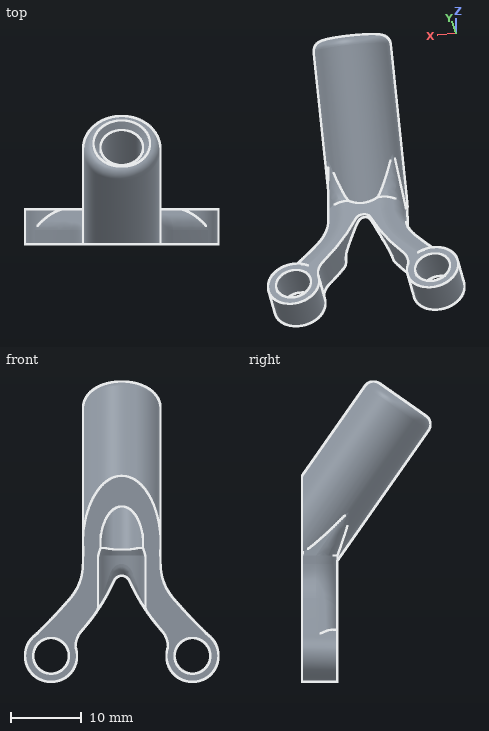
import cadquery as cq
import math

plate_depth = 5.0
eye_radius = 3.7
eye_hole_radius = 2.5
eye_x = 10.0
eye_z = eye_radius

tube_diameter = 11.0
tube_radius = tube_diameter / 2
bore_radius = 3.0
tilt = 35.0
axis_z = 19.55
tube_length = 24.87
rim_round = 1.5
mouth_chamfer = 0.98

shoulder_z = 16.63
shoulder_arc_radius = 7.3
shoulder_turn = 40.6
eye_touch_angle = 53.4
back_round = 2.98
crotch_top = 15.0
crotch_shoulder = (1.05, 14.35)
leg_middle = (3.35, 10.2)
leg_end = (5.7, 7.2)
knuckle_middle = (6.25, 6.3)
knuckle_end = (6.5, 5.2)

saddle_z = 17.85
saddle_tip_z = 25.75
saddle_tip_half_width = 4.55
saddle_tip_front = 2.55
saddle_tip_back = 7.85
saddle_tip_round = 0.43

channel_width = 6.68
channel_radius = channel_width / 2
channel_top = 17.85
neck_top = 18.92
crotch_round = 1.65

reach = 42.5
margin = 0.2

tube_plane = cq.Plane(
    origin=(0, 0, axis_z),
    xDir=(1, 0, 0),
    normal=(0, math.sin(math.radians(tilt)), math.cos(math.radians(tilt))),
)


def plate_sketch():
    """XZ workplane on the plate front; extrude negative distances toward +Y."""
    return cq.Workplane("XZ")


def mirror_x(point):
    return (-point[0], point[1])


def make_tube():
    """Cylinder with a rounded rim, trimmed flush with the plate front."""
    tube = cq.Workplane(tube_plane).workplane(offset=-reach / 2)
    tube = tube.circle(tube_radius).extrude(tube_length + reach / 2)
    tube = tube.faces(cq.selectors.DirectionMinMaxSelector(tube_plane.zDir)).edges().fillet(rim_round)
    front_space = cq.Workplane("XY").box(reach, reach, 2 * reach, centered=(True, False, True))
    return tube.cut(front_space.translate((0, -reach, 0)))


def make_arms():
    """Flared plate whose outer sides curve from the tube out to the eyes."""
    bend_end = (
        tube_radius + shoulder_arc_radius * (1 - math.cos(math.radians(shoulder_turn))),
        shoulder_z - shoulder_arc_radius * math.sin(math.radians(shoulder_turn)),
    )
    half_turn = math.radians(shoulder_turn / 2)
    bend_middle = (
        tube_radius + shoulder_arc_radius * (1 - math.cos(half_turn)),
        shoulder_z - shoulder_arc_radius * math.sin(half_turn),
    )
    touch = (
        eye_x + eye_radius * math.cos(math.radians(eye_touch_angle)),
        eye_z + eye_radius * math.sin(math.radians(eye_touch_angle)),
    )

    arm = (
        plate_sketch()
        .moveTo(0, saddle_z)
        .lineTo(tube_radius, saddle_z)
        .lineTo(tube_radius, shoulder_z)
        .threePointArc(bend_middle, bend_end)
        .tangentArcPoint(touch, relative=False)
        .lineTo(eye_x, eye_z)
        .lineTo(0, eye_z)
        .close()
        .extrude(-plate_depth)
    )
    outer_back_edge = cq.selectors.BoxSelector(
        (tube_radius - margin, plate_depth - margin, touch[1] + margin),
        (touch[0] - margin, plate_depth + margin, saddle_z - margin),
    )
    arm = arm.edges(outer_back_edge).fillet(back_round)
    return arm.union(arm.mirror("YZ"))


def saddle_section(workplane, half_width, front_y, back_y, corner):
    """Rectangle in XY whose two back corners are rounded."""
    diagonal = corner * (1 - math.sqrt(0.5))
    return (
        workplane.moveTo(-half_width, front_y)
        .lineTo(half_width, front_y)
        .lineTo(half_width, back_y - corner)
        .threePointArc((half_width - diagonal, back_y - diagonal), (half_width - corner, back_y))
        .lineTo(corner - half_width, back_y)
        .threePointArc((diagonal - half_width, back_y - diagonal), (-half_width, back_y - corner))
        .close()
    )


def make_saddle():
    """Tapered transition that fades from the arm section into the tube."""
    saddle = saddle_section(
        cq.Workplane("XY", origin=(0, 0, saddle_z)), tube_radius, 0, plate_depth, back_round
    )
    saddle = saddle_section(
        saddle.workplane(offset=saddle_tip_z - saddle_z, origin=(0, 0, 0)),
        saddle_tip_half_width,
        saddle_tip_front,
        saddle_tip_back,
        saddle_tip_round,
    )
    return saddle.loft(ruled=True)


def crotch_cutter():
    """Opening between the legs, from its round top down to the eyes."""
    return (
        plate_sketch()
        .moveTo(*mirror_x(crotch_shoulder))
        .threePointArc((0, crotch_top), crotch_shoulder)
        .threePointArc(leg_middle, leg_end)
        .threePointArc(knuckle_middle, knuckle_end)
        .lineTo(knuckle_end[0], -eye_radius)
        .lineTo(-knuckle_end[0], -eye_radius)
        .lineTo(*mirror_x(knuckle_end))
        .threePointArc(mirror_x(knuckle_middle), mirror_x(leg_end))
        .threePointArc(mirror_x(leg_middle), mirror_x(crotch_shoulder))
        .close()
        .extrude(-reach)
    )


def bore_cutter():
    """Tube bore with a conical mouth."""
    bore = cq.Workplane(tube_plane).workplane(offset=-tube_length)
    bore = bore.circle(bore_radius).extrude(2 * tube_length)
    mouth = (
        cq.Workplane(tube_plane)
        .workplane(offset=tube_length - mouth_chamfer)
        .circle(bore_radius)
        .workplane(offset=mouth_chamfer)
        .circle(bore_radius + mouth_chamfer)
        .loft()
    )
    return bore.union(mouth)


def channel_cutter():
    """Upright round channel that narrows to the bore width at its top."""
    return (
        cq.Workplane("XZ")
        .lineTo(channel_radius, 0)
        .lineTo(channel_radius, channel_top)
        .lineTo(bore_radius, neck_top)
        .lineTo(0, neck_top)
        .close()
        .revolve(360, (0, 0), (0, 1))
    )


body = make_tube().union(make_arms()).union(make_saddle())
body = body.cut(crotch_cutter()).cut(channel_cutter())

crotch_edge = cq.selectors.BoxSelector(
    (-channel_radius, margin, leg_middle[1]),
    (channel_radius, channel_radius + margin, crotch_top + margin),
)
body = body.edges(crotch_edge).fillet(crotch_round)

body = body.cut(bore_cutter())

for eye_center in (-eye_x, eye_x):
    eye = plate_sketch().center(eye_center, eye_z).circle(eye_radius).extrude(-plate_depth)
    hole = plate_sketch().center(eye_center, eye_z).circle(eye_hole_radius).extrude(-plate_depth)
    body = body.union(eye).cut(hole)

result = body